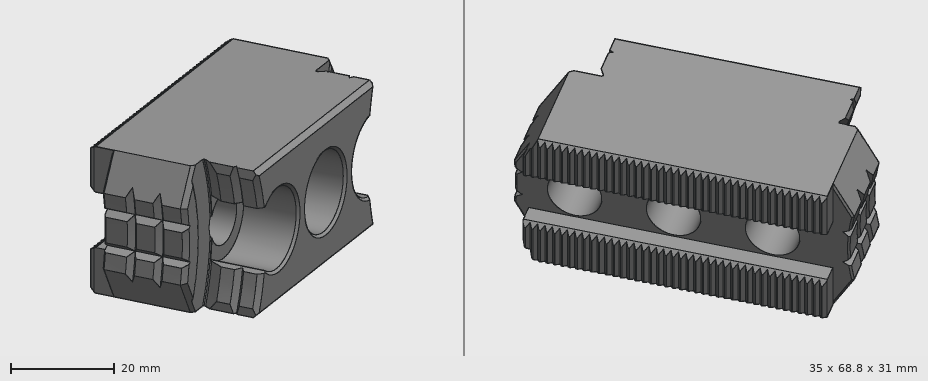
import cadquery as cq
import math


end_sides = (-1, 1)

half_height = 31.0 / 2
total_x = 35.0
block_x = 5.0
step_x = 23.05

grip_radius = {-1: 37.8, 1: 50.0}
lower_reach = 34.4
lower_incline = 30
lower_corner_z = {-1: 8.05, 1: 5.1}
upper_reach = {-1: 27.0, 1: 22.9}
upper_incline = 7
upper_corner_z = 13.55
back_chamfer = 0.4
front_chamfer = 1.0

groove_depth = 1.5
groove_half_width = 2.0 / 2
cut_margin = 0.35
lower_groove_x = (11.1, 17.05)
upper_groove_x = 30.05
cross_groove_z = {-1: 3.85, 1: 2.9}

ramp_x = 26.1
ramp_angle = 30
ramp_foot_x = 23.25
relief_x = 22.7
relief_corner = 0.2
relief_edge_y = {-1: 28.75, 1: 25.7}

rail_start_y = -30.1
rail_length = 61.5
tooth_count = 41
tooth_pitch = rail_length / tooth_count
tooth_tip = 0.25
tooth_depth = 1.1
rail_inner_z = 5.85
rail_chamfer_x = 1.45
rail_chamfer_z = 0.8

hole_diameter = 11
counterbore_diameter = 17.0
counterbore_chamfer = 0.55
hole_pitch = 20.0
middle_hole_y = 2.05
end_slot_width = 13.9


def grip_vertex(side, reach, corner_z):
    """Distance from the XZ plane to the deepest line of a gripping arc."""
    radius = grip_radius[side]
    return reach - radius + math.sqrt(radius**2 - corner_z**2)


def end_points(side, reach, corner_z, incline):
    """Top corner, grip corner and arc middle of one end, for +Z."""
    top = reach - (half_height - corner_z) * math.tan(math.radians(incline))
    return (
        (side * top, half_height),
        (side * reach, corner_z),
        (side * grip_vertex(side, reach, corner_z), 0),
    )


def below(point):
    return (point[0], -point[1])


def step_block(x_start, x_end, minus_end, plus_end):
    """Prism along X with an inclined, concave face at each Y end."""
    minus_top, minus_corner, minus_middle = minus_end
    plus_top, plus_corner, plus_middle = plus_end
    return (
        cq.Workplane("YZ", origin=(x_start, 0, 0))
        .moveTo(*minus_top)
        .lineTo(*plus_top)
        .lineTo(*plus_corner)
        .threePointArc(plus_middle, below(plus_corner))
        .lineTo(*below(plus_top))
        .lineTo(*below(minus_top))
        .lineTo(*below(minus_corner))
        .threePointArc(minus_middle, minus_corner)
        .close()
        .extrude(x_end - x_start)
    )


def ring(points, side, vertex):
    """Turn (x, depth into the grip) points about the axis of a gripping arc."""
    profile = [(x, side * (vertex - depth)) for x, depth in points]
    axis_y = side * (vertex + grip_radius[side])
    return cq.Workplane("XY").polyline(profile).close().revolve(360, (0, axis_y), (1, axis_y))


def v_points(center):
    """V section as (position across, depth) points, open past the surface."""
    open_half_width = groove_half_width * (groove_depth + cut_margin) / groove_depth
    return [
        (center - open_half_width, -cut_margin),
        (center, groove_depth),
        (center + open_half_width, -cut_margin),
    ]


def cross_groove(side, vertex, tip_z):
    """V groove along X, pointing away from the axis of the gripping arc."""
    tilt = math.degrees(math.asin(tip_z / (grip_radius[side] + groove_depth)))
    section = [(side * (vertex - depth), across) for across, depth in v_points(0)]
    axis_y = side * (vertex + grip_radius[side])
    return (
        cq.Workplane("YZ", origin=(block_x, 0, 0))
        .polyline(section)
        .close()
        .extrude(step_x - block_x)
        .rotate((0, axis_y, 0), (1, axis_y, 0), -side * tilt)
    )


def lower_prism(x_start, x_end):
    """Plain prism with the outline of the lower block."""
    ends = [end_points(s, lower_reach, lower_corner_z[s], lower_incline) for s in end_sides]
    return step_block(x_start, x_end, *ends)


def lower_block():
    """Wide block with chamfered ends and a grid of V grooves in its gripping faces."""
    block = lower_prism(block_x, step_x)
    block = block.faces("<X").edges("not(<Z or >Z)").chamfer(back_chamfer)
    block = block.faces(">X").edges("not(<Z or >Z)").chamfer(front_chamfer)
    for side in end_sides:
        vertex = grip_vertex(side, lower_reach, lower_corner_z[side])
        for x in lower_groove_x:
            block = block.cut(ring(v_points(x), side, vertex))
        for tip_z in (-cross_groove_z[side], cross_groove_z[side]):
            block = block.cut(cross_groove(side, vertex, tip_z))
    return block


def upper_block():
    """Narrow step with one V groove and a bevelled front edge on each gripping face."""
    ends = [end_points(s, upper_reach[s], upper_corner_z, upper_incline) for s in end_sides]
    block = step_block(relief_x, total_x, *ends)
    block = block.faces(">X").edges("<Z or >Z").chamfer(front_chamfer)
    front_bevel = [
        (total_x - front_chamfer - cut_margin, -cut_margin),
        (total_x, front_chamfer),
        (total_x, -cut_margin),
    ]
    for side in end_sides:
        vertex = grip_vertex(side, upper_reach[side], upper_corner_z)
        block = block.cut(ring(v_points(upper_groove_x), side, vertex))
        block = block.cut(ring(front_bevel, side, vertex))
    return block


def corner_relief(side):
    """Ramp under the upper gripping face and shallow recess in the step face."""
    vertex = grip_vertex(side, upper_reach[side], upper_corner_z)
    ramp_depth = (ramp_x - ramp_foot_x) * math.tan(math.radians(ramp_angle))
    recess = relief_edge_y[side] - vertex
    recess_depth = step_x - relief_x
    points = [
        (ramp_x, 0),
        (ramp_foot_x, ramp_depth),
        (relief_x + relief_corner, ramp_depth),
        (relief_x, ramp_depth - relief_corner),
        (relief_x, recess_depth - recess),
        (step_x, -recess),
        (ramp_x, -recess),
    ]
    return ring(points, side, vertex)


def rail():
    """Toothed rail on the +Z side, sloped with the lower block at its +Y end."""
    back_x = block_x + back_chamfer
    end_y = rail_start_y + rail_length
    points = [(back_x, rail_start_y), (tooth_depth, rail_start_y)]
    for i in range(tooth_count):
        tip_y = rail_start_y + (i + 0.5) * tooth_pitch
        points.append((0, tip_y - tooth_tip / 2))
        points.append((0, tip_y + tooth_tip / 2))
        points.append((tooth_depth, tip_y + tooth_pitch / 2))
    points.append((back_x, end_y))
    teeth = (
        cq.Workplane("XY", origin=(0, 0, rail_inner_z))
        .polyline(points)
        .close()
        .extrude(half_height - rail_inner_z)
    )
    chamfered_bar = (
        cq.Workplane("XZ", origin=(0, end_y, 0))
        .moveTo(back_x, rail_inner_z)
        .lineTo(rail_chamfer_x, rail_inner_z)
        .lineTo(0, rail_inner_z + rail_chamfer_z)
        .lineTo(0, half_height - rail_chamfer_z)
        .lineTo(rail_chamfer_x, half_height)
        .lineTo(back_x, half_height)
        .close()
        .extrude(rail_length)
    )
    envelope = lower_prism(0, back_x)
    return teeth.intersect(chamfered_bar).intersect(envelope)


def bolt_hole(y):
    """Through hole with a counterbore down to the step and a chamfered mouth."""
    bore = cq.Workplane("YZ").center(y, 0).circle(hole_diameter / 2).extrude(total_x)
    counterbore = (
        cq.Workplane("YZ", origin=(step_x, 0, 0))
        .center(y, 0)
        .circle(counterbore_diameter / 2)
        .extrude(total_x - step_x)
    )
    mouth = (
        cq.Workplane("YZ", origin=(total_x, 0, 0))
        .center(y, 0)
        .circle(counterbore_diameter / 2 + counterbore_chamfer)
        .extrude(-counterbore_chamfer, taper=45)
    )
    return bore.union(counterbore).union(mouth)


def end_slot():
    """Slot opening the -Y counterbore through the upper gripping face."""
    inner_y = middle_hole_y - hole_pitch
    length_x = total_x - step_x
    length_y = lower_reach + inner_y
    return (
        cq.Workplane("XY", origin=(step_x, -lower_reach, 0))
        .box(length_x, length_y, end_slot_width, centered=(False, False, True))
    )


upper_rail = rail()
result = lower_block().union(upper_block())
for side in end_sides:
    result = result.cut(corner_relief(side))
result = result.union(upper_rail).union(upper_rail.mirror("XY"))
for i in (-1, 0, 1):
    result = result.cut(bolt_hole(middle_hole_y + i * hole_pitch))
result = result.cut(end_slot()).solids()